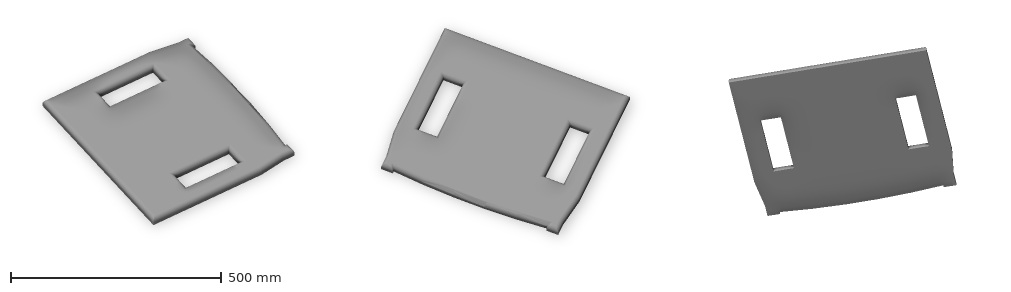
import cadquery as cq

width = 479.3
half_width = width / 2
thickness = 20.0
edge_radius = thickness / 2

rear_half_width = 229.0
left_taper_start = 304.0
right_taper_start = 307.5
taper_end = 377.5
tab_rear = 408.5
tab_half_gap = 199.0
crown_end = 402.5
crown_peak = 412.0

window_length = 155.0
window_width = 50.0
window_center_x = 164.0
window_center_y = 203.5


def make_plate():
    """Plate with its front edge on y = 0 and its underside on z = 0."""
    return (
        cq.Workplane("XY")
        .moveTo(-half_width, 0)
        .lineTo(half_width, 0)
        .lineTo(half_width, right_taper_start)
        .lineTo(rear_half_width, taper_end)
        .lineTo(rear_half_width, tab_rear)
        .lineTo(tab_half_gap, tab_rear)
        .lineTo(tab_half_gap, crown_end)
        .threePointArc((0, crown_peak), (-tab_half_gap, crown_end))
        .lineTo(-tab_half_gap, tab_rear)
        .lineTo(-rear_half_width, tab_rear)
        .lineTo(-rear_half_width, taper_end)
        .lineTo(-half_width, left_taper_start)
        .close()
        .extrude(thickness)
    )


def cut_windows(plate):
    """Cut one rectangular handle window on each side."""
    return (
        plate.faces("<Z")
        .workplane(origin=(0, 0, 0), invert=True)
        .pushPoints([(side * window_center_x, window_center_y) for side in (-1, 1)])
        .rect(window_width, window_length)
        .cutThruAll()
    )


def round_top_edges(plate):
    """Round every upper edge, both around the outline and around the windows."""
    return plate.faces(">Z").edges().fillet(edge_radius)


result = round_top_edges(cut_windows(make_plate()))